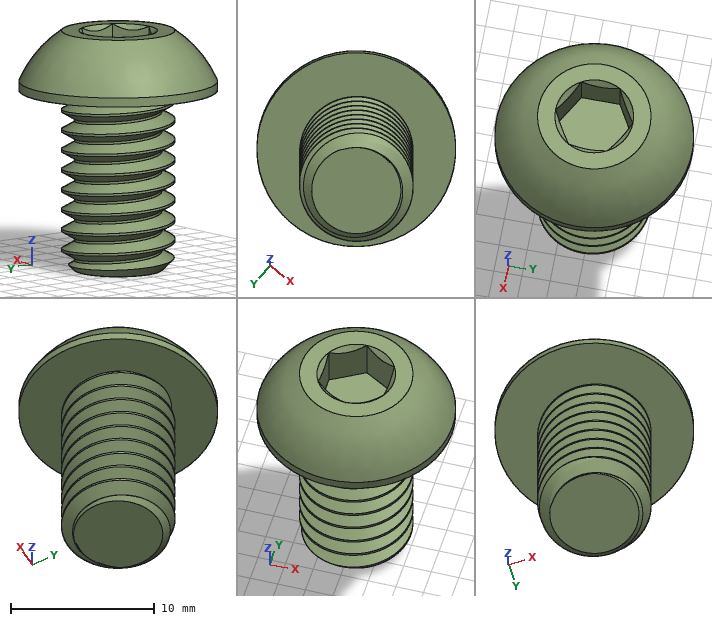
import cadquery as cq
import math

TOTAL_HEIGHT = 16.92
SHANK_LENGTH = 12.7

HEAD_RADIUS = 6.945
RIM_HEIGHT = 0.65
TOP_FLAT_RADIUS = 3.96
DOME_BULGE = 0.32

HEX_ACROSS_FLATS = 4.75
HEX_CORNER_RADIUS = HEX_ACROSS_FLATS / math.sqrt(3)
SOCKET_DEPTH = 2.9
LEAD_IN_ANGLE = 45.0

THREAD_RADIUS = 3.968
PITCH = 1.411
FLAT_WIDTH = PITCH / 8
FLANK_ANGLE = 30.0
FLANK_WIDTH = (PITCH - 2 * FLAT_WIDTH) / 2
THREAD_DEPTH = FLANK_WIDTH / math.tan(math.radians(FLANK_ANGLE))
ROOT_RADIUS = THREAD_RADIUS - THREAD_DEPTH
CREST_HEIGHT = 1.18
TIP_RADIUS = 3.11
TIP_CHAMFER = THREAD_RADIUS - TIP_RADIUS

CUTTER_OVERHANG = 0.08
GROOVE_START = CREST_HEIGHT - 2.5 * PITCH
GROOVE_TURNS = math.ceil((SHANK_LENGTH - GROOVE_START) / PITCH) + 1


def make_head():
    """Domed head with a flat top and a hexagonal socket."""
    rim_top = SHANK_LENGTH + RIM_HEIGHT
    rise = TOTAL_HEIGHT - rim_top
    run = HEAD_RADIUS - TOP_FLAT_RADIUS
    chord = math.hypot(rise, run)
    dome_middle = (
        (HEAD_RADIUS + TOP_FLAT_RADIUS) / 2 + DOME_BULGE * rise / chord,
        (rim_top + TOTAL_HEIGHT) / 2 + DOME_BULGE * run / chord,
    )
    head = (
        cq.Workplane("XZ")
        .moveTo(0, SHANK_LENGTH)
        .lineTo(HEAD_RADIUS, SHANK_LENGTH)
        .lineTo(HEAD_RADIUS, rim_top)
        .threePointArc(dome_middle, (TOP_FLAT_RADIUS, TOTAL_HEIGHT))
        .lineTo(0, TOTAL_HEIGHT)
        .close()
        .revolve(360, (0, 0, 0), (0, 1, 0))
    )
    return head.cut(make_hex_socket()).cut(make_socket_lead_in())


def make_hex_socket():
    """Hexagonal prism with two corners on the Y axis."""
    return (
        cq.Workplane("XY", origin=(0, 0, TOTAL_HEIGHT - SOCKET_DEPTH))
        .transformed(rotate=(0, 0, 90))
        .polygon(6, 2 * HEX_CORNER_RADIUS)
        .extrude(SOCKET_DEPTH)
    )


def make_socket_lead_in():
    """Cone whose mouth circle passes through the hexagon corners."""
    depth = HEX_CORNER_RADIUS * math.tan(math.radians(LEAD_IN_ANGLE))
    return cq.Workplane(
        cq.Solid.makeCone(
            HEX_CORNER_RADIUS, 0, depth, pnt=cq.Vector(0, 0, TOTAL_HEIGHT), dir=cq.Vector(0, 0, -1)
        )
    )


def make_thread_groove():
    """Right-handed V groove with a flat root, swept along a helix."""
    overhang_width = CUTTER_OVERHANG * math.tan(math.radians(FLANK_ANGLE))
    half_root = FLAT_WIDTH / 2
    half_mouth = half_root + FLANK_WIDTH + overhang_width
    mouth_radius = THREAD_RADIUS + CUTTER_OVERHANG
    helix = cq.Wire.makeHelix(PITCH, GROOVE_TURNS * PITCH, ROOT_RADIUS).translate(
        cq.Vector(0, 0, GROOVE_START)
    )
    groove = (
        cq.Workplane("XZ")
        .polyline(
            [
                (ROOT_RADIUS, GROOVE_START - half_root),
                (mouth_radius, GROOVE_START - half_mouth),
                (mouth_radius, GROOVE_START + half_mouth),
                (ROOT_RADIUS, GROOVE_START + half_root),
            ]
        )
        .close()
        .sweep(cq.Workplane(helix), isFrenet=True)
    )
    sleeve = (
        cq.Workplane("XY")
        .circle(ROOT_RADIUS + THREAD_RADIUS)
        .circle(ROOT_RADIUS / 2)
        .extrude(SHANK_LENGTH)
    )
    return sleeve.intersect(groove)


def make_shank():
    """Threaded shank with a chamfered tip."""
    blank = (
        cq.Workplane("YZ")
        .polyline(
            [
                (0, 0),
                (TIP_RADIUS, 0),
                (THREAD_RADIUS, TIP_CHAMFER),
                (THREAD_RADIUS, SHANK_LENGTH),
                (0, SHANK_LENGTH),
            ]
        )
        .close()
        .revolve(360, (0, 0, 0), (0, 1, 0))
    )
    return blank.cut(make_thread_groove())


head = make_head()
shank = make_shank()

result = cq.Compound.makeCompound([*head.vals(), *shank.vals()])